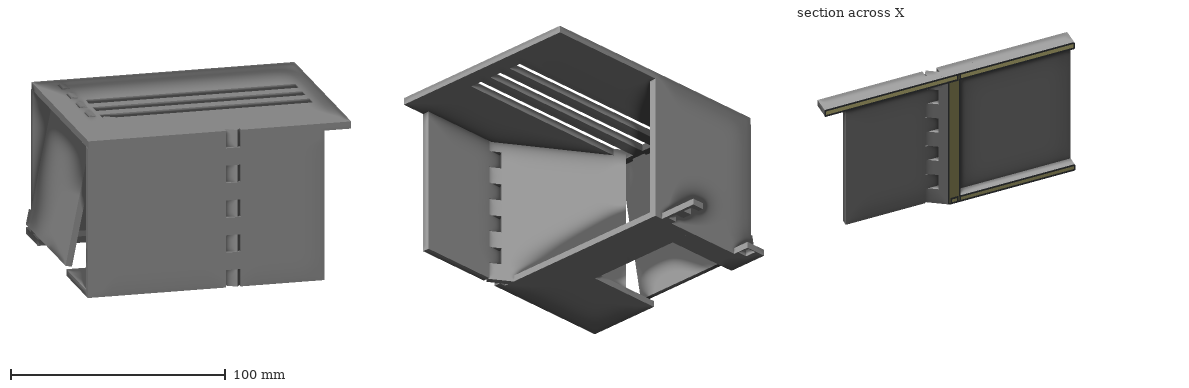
import cadquery as cq
import math

BOX_WIDTH = 101.6
BOX_HEIGHT = 76.0
TOP_DEPTH = 126.7
TOP_FRONT = 0.3
PLATE_DEPTH = 63.5
FINGERS = 9
BOTTOM_FINGERS = 5
RIGHT_DEPTH = PLATE_DEPTH * FINGERS / BOTTOM_FINGERS

THICK = 3.5
THIN = 3.1
UNDERSIDE = BOX_HEIGHT - THICK
INNER_RIGHT = BOX_WIDTH - THICK

VENT_COUNT = 3
VENT_PITCH = 12.5
VENT_WIDTH = 6.5
VENT_LENGTH = 101.1
VENT_LEFT = 35.1
VENT_FRONT = 16.8

OPENING_LEFT = 12.5
OPENING_RIGHT = 63.2
OPENING_DEPTH = 39.1

COMB_LENGTH = 20.3
COMB_BACK = 59.0
COMB_DEPTH = 6.3
COMB_SPINE = 1.5
COMB_GAPS = 2
COMB_GAP = 4.9
COMB_END_TOOTH = (COMB_LENGTH - (2 * COMB_GAPS - 1) * COMB_GAP) / 2
EYELET_LENGTH = 8.7
EYELET_DEPTH = 11.0
EYELET_HOLE_X = 5.8
EYELET_HOLE_Y = 5.0
EYELET_RIM = 0.5

LEAN_SLOPE = 0.2
LEAN = math.atan(LEAN_SLOPE)
FRONT_WIDTH = 71.1
FRONT_OVERHANG = 2.5
FRONT_FOOT = 7.1
EAR_TOP = 76.8
FRONT_LENGTH = (EAR_TOP - FRONT_FOOT) / math.cos(LEAN)
SHOULDER = (UNDERSIDE - FRONT_FOOT) / math.cos(LEAN)

TURN_DEGREES = 57.4
TURN = math.radians(TURN_DEGREES)
DIAGONAL_X = 66.0
DIAGONAL_Y = 16.5
DIAGONAL_STEP = 7.1
MIDDLE_STEPS = FINGERS - 2
DIAGONAL_LENGTH = (BOX_WIDTH - DIAGONAL_X) / math.cos(TURN)
DIAGONAL_END_TAB = (DIAGONAL_LENGTH - MIDDLE_STEPS * DIAGONAL_STEP) / 2
TOOTH_LENGTH = THICK / math.cos(TURN)


def block(x, y, z):
    """Box filling the given (low, high) ranges."""
    size = [high - low for low, high in (x, y, z)]
    return cq.Workplane("XY").box(*size, centered=False).translate((x[0], y[0], z[0]))


def steps(length, count, first):
    """Every second one of `count` equal steps along `length`, beginning with number `first`."""
    step = length / count
    return [(i * step, (i + 1) * step) for i in range(first, count, 2)]


def place_front(shape):
    """Lean a shape drawn upright (Y = depth behind the front face) into the front panel's place."""
    leaned = shape.rotate((0, 0, 0), (1, 0, 0), -math.degrees(LEAN))
    return leaned.translate((0, -FRONT_OVERHANG, FRONT_FOOT))


def place_diagonal(shape):
    """Turn a shape drawn along X into the diagonal panel's place."""
    turned = shape.rotate((0, 0, 0), (0, 0, 1), TURN_DEGREES)
    return turned.translate((DIAGONAL_X, DIAGONAL_Y, 0))


def cut_all(body, cutters):
    """Cut every cutter in turn from the body."""
    for cutter in cutters:
        body = body.cut(cutter)
    return body


LEFT_TABS = steps(PLATE_DEPTH, FINGERS, 1)
LEFT_GAPS = steps(PLATE_DEPTH, FINGERS, 0)
RIGHT_TOP_TABS = steps(RIGHT_DEPTH, FINGERS, 1)
RIGHT_TOP_GAPS = steps(RIGHT_DEPTH, FINGERS, 0)
RIGHT_BOTTOM_TABS = steps(PLATE_DEPTH, BOTTOM_FINGERS, 1)
RIGHT_BOTTOM_GAPS = steps(PLATE_DEPTH, BOTTOM_FINGERS, 0)
EARS = steps(FRONT_WIDTH, FINGERS, 1)
SIDE_TABS = steps(SHOULDER, FINGERS, 0)
TEETH = steps(BOX_HEIGHT, FINGERS, 0)
TOOTH_GAPS = steps(BOX_HEIGHT, FINGERS, 1)

LEFT_X = (0, THICK)
RIGHT_X = (INNER_RIGHT, BOX_WIDTH)
TOP_Z = (UNDERSIDE, BOX_HEIGHT)
BOTTOM_Z = (0, THIN)
PANEL_Y = (0, THIN)

DIAGONAL_GAPS = [
    (DIAGONAL_END_TAB + i * DIAGONAL_STEP, DIAGONAL_END_TAB + (i + 1) * DIAGONAL_STEP)
    for i in range(0, MIDDLE_STEPS, 2)
]


def diagonal_bottom_gaps():
    """Gaps along the lower edge: the last one stops where the rear face leaves the bottom plate."""
    rear_face_y = DIAGONAL_Y + THIN * math.cos(TURN)
    plate_end = (PLATE_DEPTH - rear_face_y) / math.sin(TURN)
    return DIAGONAL_GAPS[:-1] + [(DIAGONAL_GAPS[-1][0], plate_end)]


def front_panel():
    """Leaning panel with ears on its top edge and tabs on its left edge."""
    body = block((0, FRONT_WIDTH), PANEL_Y, (0, SHOULDER))
    body = cut_all(body, [block(LEFT_X, PANEL_Y, gap) for gap in steps(SHOULDER, FINGERS, 1)])
    for ear in EARS:
        body = body.union(block(ear, PANEL_Y, (SHOULDER, FRONT_LENGTH)))
    return place_front(body)


def diagonal_panel():
    """Upright panel tabbed into both plates, with end teeth through the right wall."""
    body = block((0, DIAGONAL_LENGTH), PANEL_Y, (0, BOX_HEIGHT))
    body = cut_all(body, [block(gap, PANEL_Y, TOP_Z) for gap in DIAGONAL_GAPS])
    body = cut_all(body, [block(gap, PANEL_Y, BOTTOM_Z) for gap in diagonal_bottom_gaps()])
    tooth_x = (DIAGONAL_LENGTH - TOOTH_LENGTH, DIAGONAL_LENGTH)
    body = cut_all(body, [block(tooth_x, PANEL_Y, gap) for gap in TOOTH_GAPS])
    return place_diagonal(body)


def left_wall():
    """Wall tabbed into both plates, slotted for the side tabs of the front panel."""
    body = block(LEFT_X, (0, PLATE_DEPTH), (0, BOX_HEIGHT))
    body = cut_all(body, [block(LEFT_X, gap, TOP_Z) for gap in LEFT_GAPS])
    body = cut_all(body, [block(LEFT_X, gap, BOTTOM_Z) for gap in LEFT_GAPS])
    return cut_all(body, [place_front(block(LEFT_X, PANEL_Y, tab)) for tab in SIDE_TABS])


def right_wall():
    """Wall tabbed into both plates, at full height behind the bottom plate."""
    body = block(RIGHT_X, (0, RIGHT_DEPTH), (0, BOX_HEIGHT))
    body = cut_all(body, [block(RIGHT_X, gap, TOP_Z) for gap in RIGHT_TOP_GAPS])
    body = cut_all(body, [block(RIGHT_X, gap, BOTTOM_Z) for gap in RIGHT_BOTTOM_GAPS])
    entry = DIAGONAL_Y + (INNER_RIGHT - DIAGONAL_X) * math.tan(TURN)
    end = DIAGONAL_Y + DIAGONAL_LENGTH * math.sin(TURN) + THIN * math.cos(TURN)
    return cut_all(body, [block(RIGHT_X, (entry, end), tooth) for tooth in TEETH])


def top_plate(diagonal):
    """Plate with ventilation slots and openings for every tab that passes through it."""
    body = block((0, BOX_WIDTH), (TOP_FRONT, TOP_FRONT + TOP_DEPTH), TOP_Z)
    body = cut_all(body, [block(LEFT_X, tab, TOP_Z) for tab in LEFT_TABS])
    body = cut_all(body, [block(RIGHT_X, tab, TOP_Z) for tab in RIGHT_TOP_TABS])
    vent_y = (VENT_FRONT, VENT_FRONT + VENT_LENGTH)
    for i in range(VENT_COUNT):
        left = VENT_LEFT + i * VENT_PITCH
        body = body.cut(block((left, left + VENT_WIDTH), vent_y, TOP_Z))
    slot_front = (UNDERSIDE - FRONT_FOOT) * LEAN_SLOPE - FRONT_OVERHANG
    slot_width = THIN / math.cos(LEAN) + THICK * LEAN_SLOPE
    body = cut_all(body, [block(ear, (slot_front, slot_front + slot_width), TOP_Z) for ear in EARS])
    return body.cut(diagonal)


def comb():
    """Toothed strip that sticks out of the left edge, its gaps open to the front."""
    back_y = (COMB_BACK - COMB_DEPTH, COMB_BACK)
    body = block((-COMB_LENGTH, 0), back_y, BOTTOM_Z)
    gap_y = (back_y[0], COMB_BACK - COMB_SPINE)
    for i in range(COMB_GAPS):
        gap_left = -COMB_LENGTH + COMB_END_TOOTH + 2 * i * COMB_GAP
        body = body.cut(block((gap_left, gap_left + COMB_GAP), gap_y, BOTTOM_Z))
    return body


def eyelet():
    """Lug with a rectangular hole at the left front corner."""
    body = block((-EYELET_LENGTH, 0), (0, EYELET_DEPTH), BOTTOM_Z)
    hole_left = -EYELET_LENGTH + EYELET_RIM
    hole_back = EYELET_DEPTH - EYELET_RIM
    hole_x = (hole_left, hole_left + EYELET_HOLE_X)
    return body.cut(block(hole_x, (hole_back - EYELET_HOLE_Y, hole_back), BOTTOM_Z))


def bottom_plate(diagonal):
    """Plate with a front opening, the comb, the eyelet and the tab openings."""
    body = block((0, BOX_WIDTH), (0, PLATE_DEPTH), BOTTOM_Z)
    body = body.cut(block((OPENING_LEFT, OPENING_RIGHT), (0, OPENING_DEPTH), BOTTOM_Z))
    body = body.union(comb()).union(eyelet())
    body = cut_all(body, [block(LEFT_X, tab, BOTTOM_Z) for tab in LEFT_TABS])
    body = cut_all(body, [block(RIGHT_X, tab, BOTTOM_Z) for tab in RIGHT_BOTTOM_TABS])
    return body.cut(diagonal)


front = front_panel()
diagonal = diagonal_panel()
left = left_wall()
right = right_wall()
top = top_plate(diagonal)
bottom = bottom_plate(diagonal)

bodies = [top, bottom, left, right, front, diagonal]
result = cq.Compound.makeCompound([body.solids().val() for body in bodies])